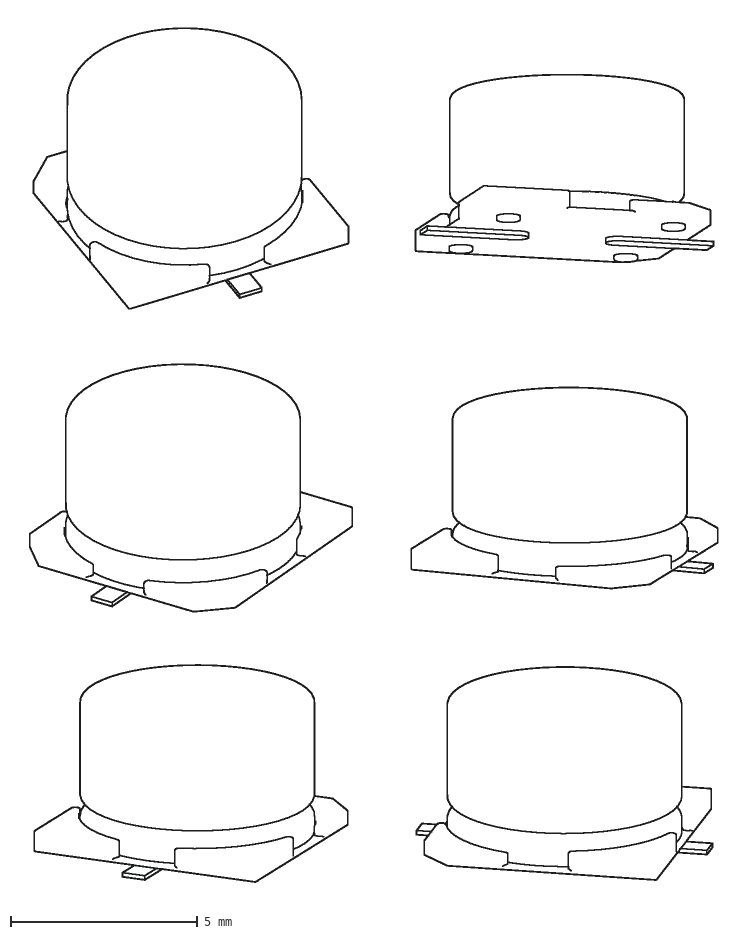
import cadquery as cq
import math

total_height = 3.95
pad_height = 0.12
floor_top = 0.26
low_corner_top = 0.56
high_corner_top = 0.72

base_width = 6.6
base_chamfer = 0.82
base_edge_round = 0.05
floor_inset = 0.16
gap_half_width = 0.84
block_outer_round = 0.13
block_inner_round = 0.1
socket_radius = 3.18

can_radius = 6.3 / 2
neck_radius = 5.67 / 2
can_round = 0.13
bead_shoulder = 0.77
groove_shoulder = 1.16

lead_length_overall = 8
lead_inner_end = 1.09
lead_width = 0.66
pad_diameter = 0.63
pad_offset = 2.3
pad_round = 0.03


def base_outline():
    """Square base outline with both -X corners cut off."""
    half = base_width / 2
    cut = half - base_chamfer
    return (
        cq.Workplane("XY")
        .workplane(offset=pad_height)
        .polyline([
            (half, -half),
            (half, half),
            (-cut, half),
            (-half, cut),
            (-half, -cut),
            (-cut, -half),
        ])
        .close()
    )


def corner_block(x_side, y_side, top):
    """One corner of the base, hollowed for the can and rounded on every edge."""
    height = top - pad_height
    half = base_width / 2
    selection_margin = 0.08
    quadrant_size = half - gap_half_width
    quadrant_center = (half + gap_half_width) / 2
    quadrant = (
        cq.Workplane("XY")
        .workplane(offset=pad_height)
        .center(x_side * quadrant_center, y_side * quadrant_center)
        .rect(quadrant_size, quadrant_size)
        .extrude(height)
    )
    socket = cq.Workplane("XY").workplane(offset=pad_height).circle(socket_radius).extrude(height)
    block = base_outline().extrude(height).intersect(quadrant).cut(socket)

    inner_reach = math.sqrt(socket_radius**2 - gap_half_width**2)
    middle_height = (top + pad_height) / 2

    def edge_at(x, y):
        return block.edges(cq.NearestToPointSelector((x_side * x, y_side * y, middle_height)))

    def end_edges(reach):
        """Vertical edges of both block ends that face a side gap, this far out along X or Y."""
        return edge_at(reach, gap_half_width).add(edge_at(gap_half_width, reach))

    block = end_edges(half).fillet(block_outer_round)
    block = end_edges(inner_reach).fillet(block_inner_round)
    corner_start = half - base_chamfer - selection_margin
    corner_end = half + selection_margin
    outer_corner = cq.selectors.BoxSelector(
        (x_side * corner_start, y_side * corner_start, 0),
        (x_side * corner_end, y_side * corner_end, total_height),
    )
    block = block.edges("|Z").edges(outer_corner).fillet(base_edge_round)
    return block.faces("<Z or >Z").edges().fillet(base_edge_round)


def base_floor():
    """Thin floor, reaching the base outline with rounded edges only across the four side gaps."""
    thickness = floor_top - pad_height
    gap_width = 2 * (gap_half_width + block_outer_round)
    gap_strips = (
        cq.Workplane("XY")
        .rect(base_width, gap_width)
        .extrude(floor_top)
        .union(cq.Workplane("XY").rect(gap_width, base_width).extrude(floor_top))
    )
    rounded_plate = base_outline().extrude(thickness).faces("<Z or >Z").edges().fillet(base_edge_round)
    inner_plate = base_outline().offset2D(-floor_inset).extrude(thickness)
    return rounded_plate.intersect(gap_strips).union(inner_plate)


def base():
    body = base_floor()
    for y_side in (-1, 1):
        body = body.union(corner_block(-1, y_side, low_corner_top))
        body = body.union(corner_block(1, y_side, high_corner_top))
    return body


def can():
    """Revolved can: a rounded bead, a concave groove around the neck and a rounded top rim."""
    r = can_round
    s = r * math.sqrt(0.5)
    bead_flat = can_radius - r
    groove_flat = neck_radius + r
    start = (pad_height + floor_top) / 2
    profile = (
        cq.Workplane("XZ")
        .moveTo(0, start)
        .lineTo(can_radius, start)
        .lineTo(can_radius, bead_shoulder - r)
        .threePointArc((bead_flat + s, bead_shoulder - r + s), (bead_flat, bead_shoulder))
        .lineTo(groove_flat, bead_shoulder)
        .threePointArc((groove_flat - s, bead_shoulder + r - s), (neck_radius, bead_shoulder + r))
        .lineTo(neck_radius, groove_shoulder - r)
        .threePointArc((groove_flat - s, groove_shoulder - r + s), (groove_flat, groove_shoulder))
        .lineTo(bead_flat, groove_shoulder)
        .threePointArc((bead_flat + s, groove_shoulder + r - s), (can_radius, groove_shoulder + r))
        .lineTo(can_radius, total_height - r)
        .threePointArc((bead_flat + s, total_height - r + s), (bead_flat, total_height))
        .lineTo(0, total_height)
        .close()
    )
    return profile.revolve(360, (0, 0), (0, 1))


def leads():
    """Two flat leads along X, each with a half-round inner end."""
    half_width = lead_width / 2
    outer_end = lead_length_overall / 2
    straight_end = lead_inner_end + half_width
    lead = (
        cq.Workplane("XY")
        .moveTo(outer_end, -half_width)
        .lineTo(outer_end, half_width)
        .lineTo(straight_end, half_width)
        .threePointArc((lead_inner_end, 0), (straight_end, -half_width))
        .close()
        .extrude(pad_height)
    )
    return lead.union(lead.mirror("YZ"))


def pads():
    """Four round support pads under the base corners."""
    return (
        cq.Workplane("XY")
        .rect(2 * pad_offset, 2 * pad_offset, forConstruction=True)
        .vertices()
        .circle(pad_diameter / 2)
        .extrude(pad_height)
        .faces("<Z")
        .edges()
        .fillet(pad_round)
    )


result = base().union(can()).union(leads()).union(pads())